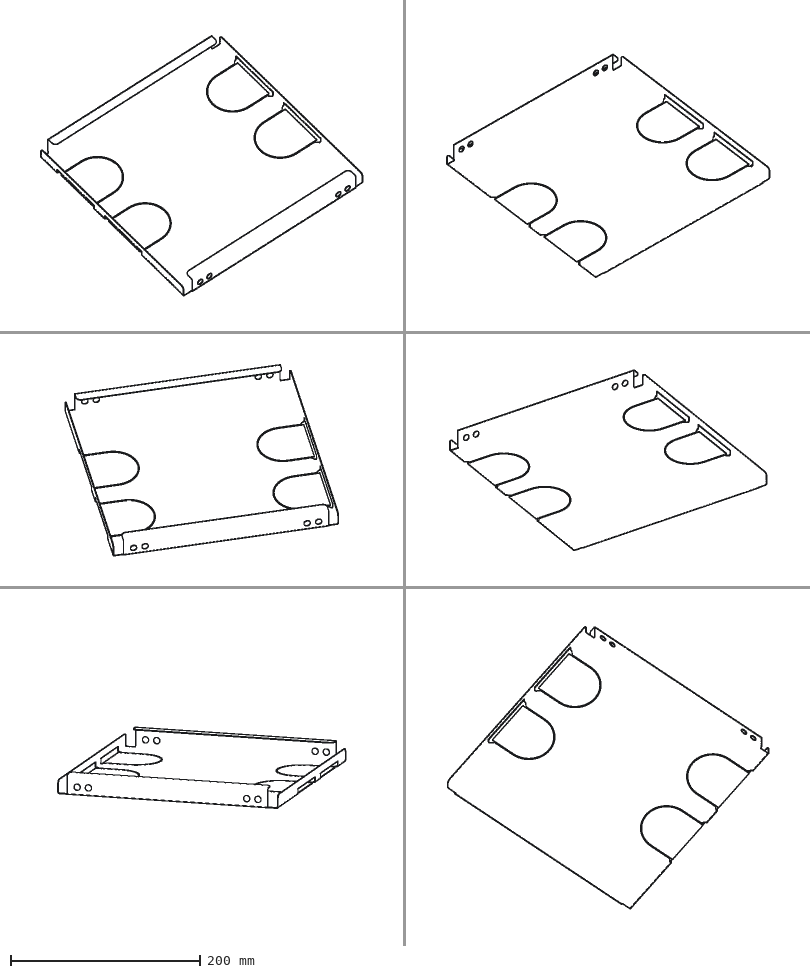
import cadquery as cq

width = 243.5
length = 244.0
height = 22.2
sheet = 1.0
bend_outer = 2.0
bend_inner = bend_outer - sheet

floor_x = width - 2 * bend_outer
floor_y = length - 2 * bend_outer

rail_length = 222.0
lip_width = 12.0
lip_corner = 5.0
hole_diameter = 6.8
hole_z = 8.8
hole_offsets = (87.5, 100.0)

flange_height = 15.0
flange_corner = 4.0

tongue_centers = (-61.7, 18.3)
slot_outer_width = 55.0
slot_width = 1.0
slot_outer_radius = slot_outer_width / 2
slot_inner_radius = slot_outer_radius - slot_width
arc_center_y = 91.7
bridge_width = 1.0
relief = 3.7
window_width = slot_outer_width + 2 * relief
window_top = 6.3


def block(x_min, x_max, y_min, y_max, z_min, z_max):
    """Box given by its limits."""
    size = (x_max - x_min, y_max - y_min, z_max - z_min)
    return cq.Workplane("XY").box(*size, centered=False).translate((x_min, y_min, z_min))


def make_rail():
    """C-shaped rail on the -X side: rounded bar with its inside removed."""
    wall = -width / 2
    lip_end = wall + lip_width
    half = rail_length / 2
    outer = block(wall, lip_end, -half, half, 0, height).edges("|Y and <X").fillet(bend_outer)
    inside = block(wall + sheet, lip_end, -half, half, sheet, height - sheet)
    rail = outer.cut(inside.edges("|Y and <X").fillet(bend_inner))

    lip_space = block(wall, lip_end, -half, half, height - sheet, height)
    rounded_lip = lip_space.edges("|Z and >X").fillet(lip_corner)
    rail = rail.cut(lip_space.cut(rounded_lip))

    spots = [(side * offset, hole_z) for side in (-1, 1) for offset in hole_offsets]
    holes = (
        cq.Workplane("YZ", origin=(wall, 0, 0))
        .pushPoints(spots)
        .circle(hole_diameter / 2)
        .extrude(bend_outer)
    )
    return rail.cut(holes)


def make_flange():
    """L-shaped flange on the -Y side, with a strip of floor inside its bend."""
    face = -length / 2
    strip_end = face + 2 * bend_outer
    half = floor_x / 2
    outer = block(-half, half, face, strip_end, 0, flange_height)
    outer = outer.edges("|X and <Y and <Z").fillet(bend_outer)
    outer = outer.edges("|Y and >Z").fillet(flange_corner)
    inside = block(-half, half, face + sheet, strip_end, sheet, flange_height)
    return outer.cut(inside.edges("|X and <Y and <Z").fillet(bend_inner))


def tongue_shape(radius):
    """Round-ended area reaching from the -Y bend line inwards, centred on X = 0."""
    bend_line = -floor_y / 2
    return (
        cq.Workplane("XY")
        .moveTo(-radius, bend_line)
        .lineTo(-radius, -arc_center_y)
        .threePointArc((0, -arc_center_y + radius), (radius, -arc_center_y))
        .lineTo(radius, bend_line)
        .close()
        .extrude(sheet)
    )


def make_corner_relief(side):
    """Triangle cut from the floor corner between the slot and the bend line."""
    bend_line = -floor_y / 2
    slot_edge = side * slot_outer_radius
    return (
        cq.Workplane("XY")
        .moveTo(slot_edge, bend_line)
        .lineTo(slot_edge + side * relief, bend_line)
        .lineTo(slot_edge, bend_line + relief)
        .close()
        .extrude(sheet)
    )


def make_tongue_cut():
    """Everything removed around one tongue on the -Y side."""
    slot = tongue_shape(slot_outer_radius).cut(tongue_shape(slot_inner_radius))
    half_bridge = bridge_width / 2
    bridge = block(-half_bridge, half_bridge, -arc_center_y, 0, 0, sheet)
    half_window = window_width / 2
    window = block(-half_window, half_window, -length / 2, -floor_y / 2, 0, window_top)
    cut = slot.cut(bridge).union(window)
    for side in (-1, 1):
        cut = cut.union(make_corner_relief(side))
    return cut


rail = make_rail()
flange = make_flange()
floor = block(-floor_x / 2, floor_x / 2, -floor_y / 2, floor_y / 2, 0, sheet)
result = (
    floor.union(rail)
    .union(rail.mirror("YZ"))
    .union(flange)
    .union(flange.mirror("XZ"))
)

tongue_cut = make_tongue_cut()
for center in tongue_centers:
    placed_cut = tongue_cut.translate((center, 0, 0))
    result = result.cut(placed_cut).cut(placed_cut.mirror("XZ"))